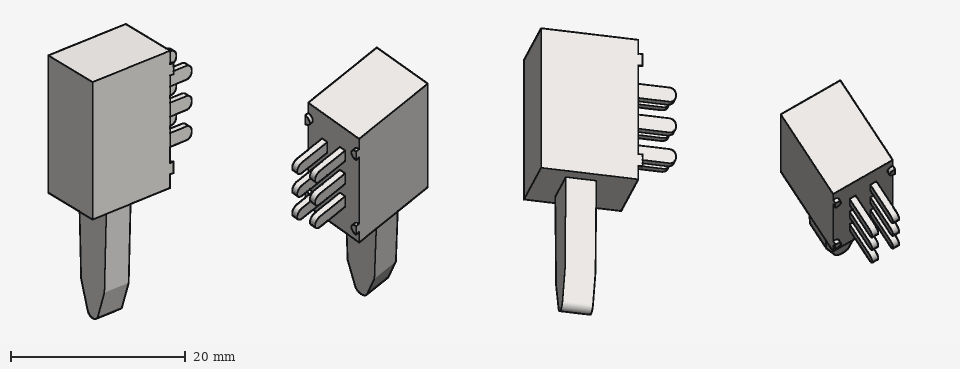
import cadquery as cq
import math

total_height = 34.1

body_width = 8.0
body_depth = 11.5
body_height = 18.1

blade_thickness = 3.6
blade_front_setback = 3.3
blade_top_half_width = 2.5
blade_shoulder_half_width = 2.1
blade_shoulder_drop = 11.65
blade_tip_radius = 1.0
blade_length = total_height - body_height

pin_length = 5.0
pin_width = 0.82
pin_height = 1.85
pin_end_radius = 0.82
pin_pitch = 4.0
pins_per_column = 3
pin_column_offset = 1.4
pin_stagger = 0.7

pad_radius = 0.75
pad_height = 0.5
pad_spacing = 13.03

body_mid_z = body_height / 2


def make_body():
    return cq.Workplane("XY").box(body_width, body_depth, body_height).translate(
        (0, -body_depth / 2, body_mid_z)
    )


def make_blade():
    """Tapered blade whose flanks run tangent into a rounded tip."""
    tip_center_z = blade_tip_radius - blade_length
    shoulder_rise = -blade_shoulder_drop - tip_center_z
    shoulder_distance = math.hypot(blade_shoulder_half_width, shoulder_rise)
    shoulder_angle = math.atan2(shoulder_rise, blade_shoulder_half_width)
    tangent_angle = shoulder_angle - math.acos(blade_tip_radius / shoulder_distance)
    tangent_x = blade_tip_radius * math.cos(tangent_angle)
    tangent_z = tip_center_z + blade_tip_radius * math.sin(tangent_angle)

    front_y = blade_front_setback - body_depth
    return (
        cq.Workplane("XZ", origin=(0, front_y, 0))
        .moveTo(-blade_top_half_width, 0)
        .lineTo(blade_top_half_width, 0)
        .lineTo(blade_shoulder_half_width, -blade_shoulder_drop)
        .lineTo(tangent_x, tangent_z)
        .threePointArc((0, -blade_length), (-tangent_x, tangent_z))
        .lineTo(-blade_shoulder_half_width, -blade_shoulder_drop)
        .close()
        .extrude(-blade_thickness)
    )


def make_pin(center_x, center_z):
    return (
        cq.Workplane("XY")
        .box(pin_width, pin_length, pin_height)
        .edges("|X and >Y")
        .fillet(pin_end_radius)
        .translate((center_x, pin_length / 2, center_z))
    )


def make_pad(side, center_z):
    """Half disc bulging inward from one side of the housing (-1 or +1)."""
    outer_x = side * body_width / 2
    inner_x = outer_x - side * pad_radius
    return (
        cq.Workplane("XZ")
        .moveTo(outer_x, center_z - pad_radius)
        .threePointArc((inner_x, center_z), (outer_x, center_z + pad_radius))
        .close()
        .extrude(-pad_height)
    )


result = make_body().union(make_blade())

for side in (-1, 1):
    column_mid_z = body_mid_z - side * pin_stagger / 2
    for row in range(pins_per_column):
        row_offset = (row - (pins_per_column - 1) / 2) * pin_pitch
        result = result.union(make_pin(side * pin_column_offset, column_mid_z + row_offset))
    for level in (-1, 1):
        result = result.union(make_pad(side, body_mid_z + level * pad_spacing / 2))